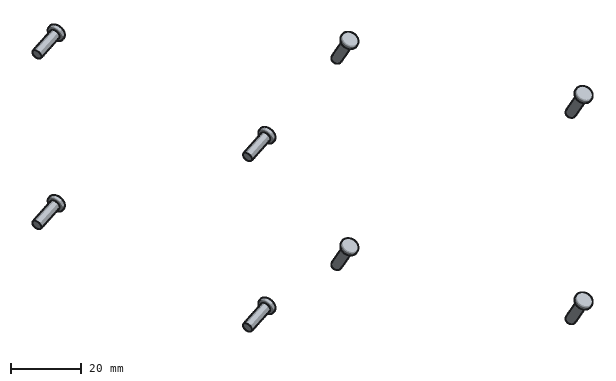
import cadquery as cq

overall_width = 76.8
screw_length = 11.2
head_diameter = 5.3
head_height = 1.9
dome_rise = 0.3
rim_radius = 0.5
seat_radius = 0.3
shank_diameter = 3.2
tip_length = 0.5
tip_inset = 0.1

head_radius = head_diameter / 2
shank_radius = shank_diameter / 2
screw_offset = overall_width / 2 - head_radius
dome_rim = head_radius - rim_radius
dome_radius = (dome_rim**2 + dome_rise**2) / (2 * dome_rise)
tip_y = -screw_length / 2
top_y = screw_length / 2
seat_y = top_y - head_height
rim_y = top_y - dome_rise


def revolve_about_y(profile):
    """Turn a closed half profile in the XY plane about the Y axis."""
    return profile.revolve(360, (0, 0, 0), (0, 1, 0))


def make_head():
    """Round head: flat seat, rounded side and a shallow dome facing +Y."""
    profile = (
        cq.Workplane("XY")
        .moveTo(0, seat_y)
        .lineTo(head_radius - seat_radius, seat_y)
        .radiusArc((head_radius, seat_y + seat_radius), -seat_radius)
        .lineTo(head_radius, rim_y - rim_radius)
        .radiusArc((dome_rim, rim_y), -rim_radius)
        .radiusArc((0, top_y), -dome_radius)
        .close()
    )
    return revolve_about_y(profile)


def make_shank():
    """Plain shank from the head's seat to a slightly tapered tip."""
    profile = (
        cq.Workplane("XY")
        .moveTo(0, seat_y)
        .lineTo(shank_radius, seat_y)
        .lineTo(shank_radius, tip_y + tip_length)
        .lineTo(shank_radius - tip_inset, tip_y)
        .lineTo(0, tip_y)
        .close()
    )
    return revolve_about_y(profile)


def make_screw(x, z):
    """One screw along Y, with its axis at the given X and Z."""
    return make_head().union(make_shank()).translate((x, 0, z))


screws = [
    make_screw(x, z)
    for x in (-screw_offset, screw_offset)
    for z in (-screw_offset, screw_offset)
]

result = cq.Compound.makeCompound([screw.solids().val() for screw in screws])